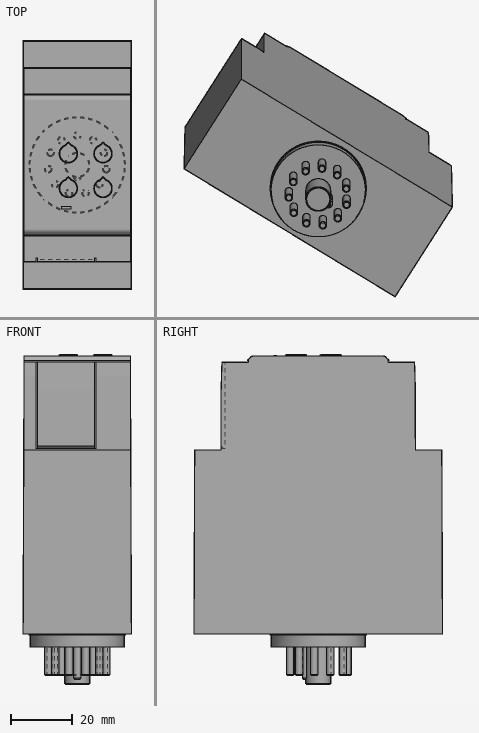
import cadquery as cq
import math


total_height = 106.6
housing_width = 35.1
housing_depth = 80.4
plug_depth = 16.2
knob_height = 0.4

base_top = 3.0
ledge_level = 59.6
wall_break = 83.4
shoulder_level = 87.9
top_level = total_height - plug_depth - knob_height
panel_bevel = 1.5
panel_edge_level = top_level - panel_bevel

ledge_wall_draft = 0.2
end_wall_draft = 0.3
base_half_depth = housing_depth / 2
ledge_half_depth = base_half_depth - ledge_wall_draft
upper_foot_half_depth = 31.5
upper_break_half_depth = 31.3
shoulder_half_depth = 31.1
panel_half_depth = 22.9
panel_flat_half_depth = panel_half_depth - panel_bevel
panel_foot_half_depth = 22.6
panel_edge_radius = 1.5
base_half_width = housing_width / 2
top_half_width = base_half_width - end_wall_draft

door_left = -13.3
door_right = 6.1
door_slit = 0.4
door_slit_depth = 1.1
door_break = 78.7
door_half_depth = 31.5
door_bottom = 60.8
door_gap_floor = 60.0
door_gap_depth = 0.9

knob_radius = 3.0
knob_rim_chamfer = 0.2
knob_pointer_reach = 3.8
knob_pitch = 11.2
first_knob_x = -2.9
first_knob_y = -7.6
knob_columns = [first_knob_x, first_knob_x + knob_pitch]
knob_rows = [first_knob_y, first_knob_y + knob_pitch]
lamp_length = 3.1
lamp_width = 0.7
lamp_height = 0.1
lamp_center = (-3.6, -13.9)

socket_diameter = 30.5
socket_height = 4.2
collar_diameter = 31.1
collar_height = 0.3
pin_count = 11
pin_diameter = 2.5
pin_circle_radius = 9.5
pin_tip_level = -13.3
pin_tip_chamfer = 0.3
post_diameter = 8.1
post_tip_chamfer = 0.3
key_diameter = 2.5
key_offset = 3.9
key_tip_level = -14.7
key_tip_chamfer = 0.5


def make_housing():
    """Stepped side outline extruded across X, trimmed to the drafted end walls."""
    half_outline = [
        (base_half_depth, 0),
        (base_half_depth, base_top),
        (ledge_half_depth, ledge_level),
        (upper_foot_half_depth, ledge_level),
        (upper_break_half_depth, wall_break),
        (shoulder_half_depth, shoulder_level),
        (panel_foot_half_depth, shoulder_level),
        (panel_foot_half_depth, panel_edge_level),
        (panel_half_depth, panel_edge_level),
        (panel_flat_half_depth, top_level),
    ]
    mirrored = [(-y, z) for y, z in reversed(half_outline)]
    side_solid = (
        cq.Workplane("YZ")
        .polyline(half_outline + mirrored)
        .close()
        .extrude(base_half_width, both=True)
        .edges("|X and >Z")
        .fillet(panel_edge_radius)
    )
    draft_envelope = (
        cq.Workplane("XZ")
        .polyline([
            (-base_half_width, 0),
            (base_half_width, 0),
            (base_half_width, base_top),
            (top_half_width, top_level),
            (-top_half_width, top_level),
            (-base_half_width, base_top),
        ])
        .close()
        .extrude(base_half_depth, both=True)
    )
    return side_solid.intersect(draft_envelope)


def make_door_recess():
    """Pocket in the front wall that frees the sides and the underside of the door."""
    recess_back = shoulder_half_depth - door_slit_depth
    return cq.Workplane("XY").box(
        door_right - door_left,
        base_half_depth - recess_back,
        shoulder_level - door_gap_floor,
        centered=False,
    ).translate((door_left, -base_half_depth, door_gap_floor))


def make_door():
    """Door leaf with a leaning upper face and a bevelled underside."""
    back = shoulder_half_depth - door_slit_depth
    gap_back = door_half_depth - door_gap_depth
    leaf_width = door_right - door_left - 2 * door_slit
    return (
        cq.Workplane("YZ", origin=(door_left + door_slit, 0, 0))
        .polyline([
            (-back, shoulder_level),
            (-shoulder_half_depth, shoulder_level),
            (-door_half_depth, door_break),
            (-door_half_depth, door_bottom),
            (-gap_back, door_gap_floor),
            (-back, door_gap_floor),
        ])
        .close()
        .extrude(leaf_width)
    )


def make_knob(x, y):
    """Chamfered round knob with a right-angled pointer tip towards +Y."""
    flank_x = (knob_pointer_reach - math.sqrt(2 * knob_radius**2 - knob_pointer_reach**2)) / 2
    flank_y = knob_pointer_reach - flank_x
    return (
        cq.Workplane("XY", origin=(x, y, top_level))
        .moveTo(-flank_x, flank_y)
        .lineTo(0, knob_pointer_reach)
        .lineTo(flank_x, flank_y)
        .threePointArc((0, -knob_radius), (-flank_x, flank_y))
        .close()
        .extrude(knob_height)
        .faces(">Z")
        .chamfer(knob_rim_chamfer)
    )


def make_peg(x, y, diameter, tip_level, tip_chamfer):
    """Cylinder hanging from the housing underside with a chamfered tip."""
    return (
        cq.Workplane("XY")
        .center(x, y)
        .circle(diameter / 2)
        .extrude(tip_level)
        .faces("<Z")
        .chamfer(tip_chamfer)
    )


def make_plug():
    """Round collared socket with a ring of pins around a keyed centre post."""
    plug = cq.Workplane("XY").circle(socket_diameter / 2).extrude(-socket_height)
    collar = cq.Workplane("XY").circle(collar_diameter / 2).extrude(-collar_height)
    plug = plug.union(collar)
    pin_step = 2 * math.pi / pin_count
    for index in range(pin_count):
        angle = math.pi / 2 + index * pin_step
        pin_x = pin_circle_radius * math.cos(angle)
        pin_y = pin_circle_radius * math.sin(angle)
        plug = plug.union(make_peg(pin_x, pin_y, pin_diameter, pin_tip_level, pin_tip_chamfer))
    plug = plug.union(make_peg(0, 0, post_diameter, -plug_depth, post_tip_chamfer))
    return plug.union(make_peg(0, -key_offset, key_diameter, key_tip_level, key_tip_chamfer))


housing = make_housing().cut(make_door_recess()).union(make_door())

for knob_x in knob_columns:
    for knob_y in knob_rows:
        housing = housing.union(make_knob(knob_x, knob_y))

lamp = (
    cq.Workplane("XY", origin=(*lamp_center, top_level))
    .rect(lamp_length, lamp_width)
    .extrude(lamp_height)
)

result = housing.union(lamp).union(make_plug())